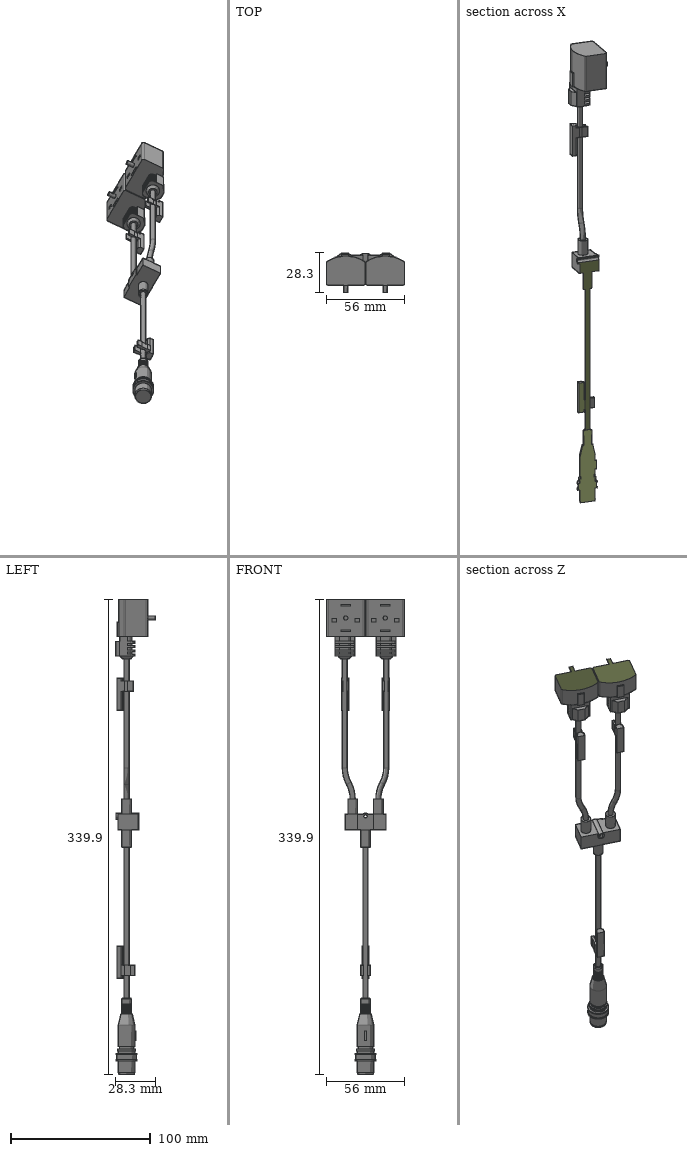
import cadquery as cq


total_height = 339.9
total_width = 56.0
pin_tip_y = -20.53

cable_diameter = 3.8
branch_x = 14.8
splitter_port_x = 9.2

housing_height = 26.8
housing_gap = 0.5
housing_width = (total_width - housing_gap) / 2
housing_x = (housing_gap + housing_width) / 2
housing_bottom = total_height - housing_height
housing_mid_z = total_height - housing_height / 2
housing_front_y = -15.2
housing_side_y = 1.5
housing_back_y = 5.7
housing_corner_radius = 1.4
pin_diameter = 3.0

slot_depth = 2.0
earth_slot_length = 7.0
earth_slot_height = 1.0
earth_slot_offset = 9.0
side_slot_width = 3.2
side_slot_height = 2.4
side_slot_offset = 8.3
side_slot_drop = 1.7

boot_width = 14.3
boot_bottom = 299.2
boot_back_y = 5.0
boot_block_front_y = -0.7
boot_core_radius = 4.0
fin_count = 4
fin_thickness = 1.5
fin_pitch = 3.07
fin_front_y = -5.9
fin_corner_radius = 3.0
boot_tip_bottom = 297.2
boot_tip_top_diameter = 9.6
boot_tip_bottom_diameter = 6.0
hump_top = 309.8
hump_back_y = 7.8
hump_crest_width = 5.0
hump_base_width = 12.0
back_pad_top = 323.5
back_pad_y = 6.7

splitter_width = 29.3
splitter_bottom = 175.0
splitter_top = 186.3
splitter_back_y = 6.3
splitter_front_y = -8.8
splitter_centre_width = 11.3
wing_setback = 0.8
sleeve_diameter = 7.0
port_sleeve_top = 197.2
trunk_sleeve_bottom = 162.3
sleeve_chamfer = 0.6
eyelet_diameter = 4.7
eyelet_hole_diameter = 2.2
eyelet_z = 184.7
eyelet_back_y = 7.6

bend_top = 219.4

label_length = 23.0
label_width = 5.2
label_back_y = 6.9
label_front_y = 4.1
label_ridge_y = 2.6
label_ridge_width = 2.5
jaw_height = 7.5
jaw_end_offset = 2.0
jaw_opening = 2.8
branch_jaw_width = label_width
branch_jaw_front_y = -4.9
branch_label_shift = 0.3
branch_label_top = 283.5
trunk_jaw_width = 7.0
trunk_jaw_front_y = -5.9
trunk_label_top = 91.8
jaw_recess_depth = 0.25
jaw_recess_back_y = 1.6
branch_jaw_recess_front_y = -0.6
trunk_jaw_recess_front_y = -2.8

nose_diameter = 12.0
nose_tip_diameter = 11.0
nose_chamfer_height = 1.6
nut_bottom = 9.8
nut_top = 15.2
nut_diameter = 15.0
nut_waist_diameter = 14.2
nut_rim_height = 0.9
nut_neck_diameter = 12.0
collar_bottom = 16.8
collar_top = 18.4
collar_diameter = 13.0
groove_diameter = 10.5
grip_bottom = 19.9
grip_top = 35.4
grip_diameter = 12.0
taper_top = 43.4
taper_top_diameter = 8.3
connector_top = 54.9
neck_diameter = 7.0
neck_chamfer = 0.7
neck_groove_diameter = 6.0
neck_groove_count = 6
neck_groove_width = 0.6
neck_groove_pitch = 1.2
mark_bottom = 24.2
mark_top = 31.0
mark_width = 1.5
mark_height = 0.8


def box(x_min, x_max, y_min, y_max, z_min, z_max):
    size = (x_max - x_min, y_max - y_min, z_max - z_min)
    return cq.Workplane("XY").box(*size, centered=False).translate((x_min, y_min, z_min))


def cylinder_z(diameter, z_min, z_max, x=0.0):
    return cq.Workplane("XY").workplane(offset=z_min).center(x, 0).circle(diameter / 2).extrude(z_max - z_min)


def cylinder_y(diameter, y_min, y_max, x, z):
    plane = cq.Workplane("XZ", origin=(x, y_max, z))
    return plane.circle(diameter / 2).extrude(y_max - y_min)


def make_housing(x):
    half = housing_width / 2
    housing = (
        cq.Workplane("XY", origin=(x, 0, housing_bottom))
        .moveTo(-half, housing_front_y)
        .lineTo(half, housing_front_y)
        .lineTo(half, housing_side_y)
        .threePointArc((0, housing_back_y), (-half, housing_side_y))
        .close()
        .extrude(housing_height)
        .edges("|Z")
        .fillet(housing_corner_radius)
    )
    for side in (-1, 1):
        earth_z = housing_mid_z + side * earth_slot_offset
        housing = housing.cut(make_slot(x, earth_z, earth_slot_length, earth_slot_height))
        contact_x = x + side * side_slot_offset
        contact_z = housing_mid_z - side_slot_drop
        housing = housing.cut(make_slot(contact_x, contact_z, side_slot_width, side_slot_height))
    return housing.union(cylinder_y(pin_diameter, pin_tip_y, housing_front_y, x, housing_mid_z))


def make_slot(x, z, width, height):
    return box(x - width / 2, x + width / 2, housing_front_y, housing_front_y + slot_depth,
               z - height / 2, z + height / 2)


def make_boot(x):
    left = x - boot_width / 2
    right = x + boot_width / 2
    boot = box(left, right, boot_block_front_y, boot_back_y, boot_bottom, housing_bottom)
    boot = boot.union(cylinder_z(2 * boot_core_radius, boot_bottom, housing_bottom, x))
    for index in range(fin_count):
        fin_bottom = boot_bottom + index * fin_pitch
        fin = box(left, right, fin_front_y, boot_block_front_y, fin_bottom, fin_bottom + fin_thickness)
        boot = boot.union(fin.edges("|Z and <Y").fillet(fin_corner_radius))
    tip = (
        cq.Workplane("XY", origin=(x, 0, boot_tip_bottom))
        .circle(boot_tip_bottom_diameter / 2)
        .workplane(offset=boot_bottom - boot_tip_bottom)
        .circle(boot_tip_top_diameter / 2)
        .loft()
    )
    return boot.union(tip).union(make_hump(x))


def make_hump(x):
    return (
        cq.Workplane("XY", origin=(x, 0, boot_bottom))
        .moveTo(-hump_base_width / 2, boot_back_y)
        .lineTo(hump_base_width / 2, boot_back_y)
        .lineTo(hump_crest_width / 2, hump_back_y)
        .lineTo(-hump_crest_width / 2, hump_back_y)
        .close()
        .extrude(hump_top - boot_bottom)
    )


def make_plug(side):
    back_pad = box(side * branch_x - hump_crest_width / 2, side * branch_x + hump_crest_width / 2,
                   housing_side_y, back_pad_y, housing_bottom, back_pad_top)
    return make_housing(side * housing_x).union(back_pad).union(make_boot(side * branch_x))


def make_branch_cable(side):
    top_x = side * branch_x
    port_x = side * splitter_port_x
    middle = ((top_x + port_x) / 2, (bend_top + port_sleeve_top) / 2)
    path = (
        cq.Workplane("XZ")
        .moveTo(top_x, boot_tip_bottom)
        .lineTo(top_x, bend_top)
        .tangentArcPoint(middle, relative=False)
        .tangentArcPoint((port_x, port_sleeve_top), relative=False)
    )
    start = cq.Workplane("XY", origin=(top_x, 0, boot_tip_bottom))
    return start.circle(cable_diameter / 2).sweep(path)


def make_splitter():
    half = splitter_width / 2
    centre_half = splitter_centre_width / 2
    block = box(-half, half, splitter_front_y + wing_setback, splitter_back_y, splitter_bottom, splitter_top)
    centre = box(-centre_half, centre_half, splitter_front_y, splitter_back_y, splitter_bottom, splitter_top)
    block = block.union(centre)
    block = block.union(cylinder_y(eyelet_diameter, splitter_front_y, eyelet_back_y, 0, eyelet_z))
    block = block.cut(cylinder_y(eyelet_hole_diameter, splitter_front_y, eyelet_back_y, 0, eyelet_z))
    for side in (-1, 1):
        port_x = side * splitter_port_x
        block = block.union(cylinder_z(sleeve_diameter, splitter_top, port_sleeve_top, port_x))
    trunk_sleeve = cylinder_z(sleeve_diameter, trunk_sleeve_bottom, splitter_bottom)
    return block.union(trunk_sleeve.faces("<Z").chamfer(sleeve_chamfer))


def make_harness():
    harness = make_splitter().union(cylinder_z(cable_diameter, connector_top, trunk_sleeve_bottom))
    for side in (-1, 1):
        harness = harness.union(make_branch_cable(side))
    return harness


def make_label(cable_x, shift, label_top, jaw_top, jaw_width, jaw_front_y, recess_front_y):
    x = cable_x + shift
    half = label_width / 2
    ridge_half = label_ridge_width / 2
    plate = (
        cq.Workplane("XY", origin=(x, 0, label_top - label_length))
        .moveTo(-half, label_back_y)
        .lineTo(half, label_back_y)
        .lineTo(half, label_front_y)
        .lineTo(ridge_half, label_ridge_y)
        .lineTo(-ridge_half, label_ridge_y)
        .lineTo(-half, label_front_y)
        .close()
        .extrude(label_length)
    )
    jaw_bottom = jaw_top - jaw_height
    jaw = box(x - jaw_width / 2, x + jaw_width / 2, jaw_front_y, label_front_y, jaw_bottom, jaw_top)
    for side in (-1, 1):
        recess_x = x + side * (jaw_width / 2 - jaw_recess_depth / 2)
        jaw = jaw.cut(box(recess_x - jaw_recess_depth / 2, recess_x + jaw_recess_depth / 2,
                          recess_front_y, jaw_recess_back_y, jaw_bottom, jaw_top))
    opening = box(cable_x - jaw_opening / 2, cable_x + jaw_opening / 2, jaw_front_y, 0, jaw_bottom, jaw_top)
    bore = cylinder_z(cable_diameter, label_top - label_length, label_top, cable_x)
    return plate.union(jaw).cut(opening).cut(bore)


def make_branch_label(side):
    jaw_top = branch_label_top - jaw_end_offset
    return make_label(side * branch_x, -side * branch_label_shift, branch_label_top, jaw_top,
                      branch_jaw_width, branch_jaw_front_y, branch_jaw_recess_front_y)


def make_trunk_label():
    jaw_top = trunk_label_top - label_length + jaw_end_offset + jaw_height
    return make_label(0, 0, trunk_label_top, jaw_top,
                      trunk_jaw_width, trunk_jaw_front_y, trunk_jaw_recess_front_y)


def make_connector():
    steps = [
        (nose_diameter, nose_chamfer_height, nut_bottom),
        (nut_diameter, nut_bottom, nut_bottom + nut_rim_height),
        (nut_waist_diameter, nut_bottom + nut_rim_height, nut_top - nut_rim_height),
        (nut_diameter, nut_top - nut_rim_height, nut_top),
        (nut_neck_diameter, nut_top, collar_bottom),
        (collar_diameter, collar_bottom, collar_top),
        (groove_diameter, collar_top, grip_bottom),
        (grip_diameter, grip_bottom, grip_top),
    ]
    profile = cq.Workplane("XZ").moveTo(0, 0).lineTo(nose_tip_diameter / 2, 0)
    for diameter, bottom, top in steps:
        profile = profile.lineTo(diameter / 2, bottom).lineTo(diameter / 2, top)
    profile = (
        profile.lineTo(taper_top_diameter / 2, taper_top)
        .lineTo(neck_diameter / 2, taper_top)
        .lineTo(neck_diameter / 2, connector_top - neck_chamfer)
        .lineTo(neck_diameter / 2 - neck_chamfer, connector_top)
        .lineTo(0, connector_top)
        .close()
    )
    connector = profile.revolve(360, (0, 0, 0), (0, 1, 0))
    for index in range(neck_groove_count):
        groove_bottom = taper_top + neck_groove_width + index * neck_groove_pitch
        ring = cylinder_z(neck_diameter, groove_bottom, groove_bottom + neck_groove_width)
        core = cylinder_z(neck_groove_diameter, groove_bottom, groove_bottom + neck_groove_width)
        connector = connector.cut(ring.cut(core))
    mark = box(-mark_width / 2, mark_width / 2, -grip_diameter / 2 - mark_height, 0, mark_bottom, mark_top)
    return connector.union(mark)


plugs = [make_plug(side) for side in (-1, 1)]
branch_labels = [make_branch_label(side) for side in (-1, 1)]
trunk_label = make_trunk_label()
harness = make_harness()
connector = make_connector()

bodies = plugs + branch_labels + [trunk_label, harness, connector]
result = cq.Compound.makeCompound([body.solids().val() for body in bodies])